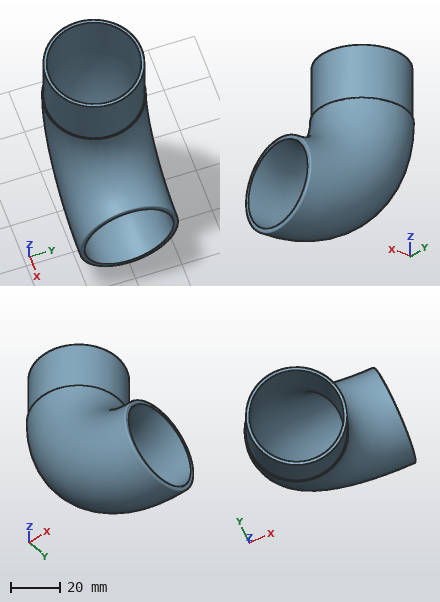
import cadquery as cq

tube_diameter = 42.4
wall = 2.0
bend_outer_radius = 65.0
bend_angle = 90.0
spigot_diameter = 41.2
spigot_length = 25.0
outlet_rim_radius = 0.5

bore_diameter = tube_diameter - 2 * wall
bend_radius = bend_outer_radius - tube_diameter / 2


def bend(diameter):
    """Solid quarter torus from the joint on the XY plane down to an outlet facing +X."""
    axis_start = (bend_radius, 0, 0)
    axis_end = (bend_radius, -1, 0)
    return cq.Workplane("XY").circle(diameter / 2).revolve(bend_angle, axis_start, axis_end)


def spigot(diameter):
    """Solid vertical cylinder rising from the joint."""
    return cq.Workplane("XY").circle(diameter / 2).extrude(spigot_length)


def rounded_bend():
    """Outside of the bend, with the rim of its outlet rounded."""
    return bend(tube_diameter).faces(">X").edges().fillet(outlet_rim_radius)


def bore():
    """Constant-diameter passage through the spigot and the bend."""
    return bend(bore_diameter).union(spigot(bore_diameter))


result = rounded_bend().union(spigot(spigot_diameter)).cut(bore())